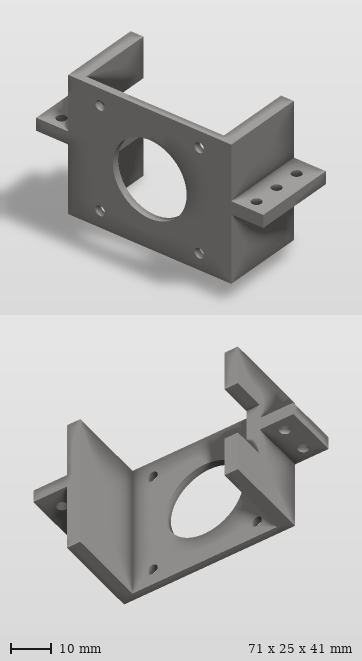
import cadquery as cq

overall_width = 71.0
depth = 25.0
height = 41.0

body_width = 51.0
wall_thickness = 4.0
plate_thickness = 2.1

tab_thickness = 3.8
tab_length = (overall_width - body_width) / 2
left_tab_depth = 15.4
tab_hole_diameter = 3.0
tab_hole_pitch = 8.0
tab_hole_front_offset = 3.7
tab_hole_x = (overall_width - tab_length) / 2

bore_diameter = 23.1
screw_hole_diameter = 3.0
screw_hole_pitch = 31.0

notch_height = 16.5


def make_body():
    cavity_width = body_width - 2 * wall_thickness
    outer = cq.Workplane("XY").box(body_width, depth, height, centered=(True, False, True))
    cavity = (
        cq.Workplane("XY")
        .box(cavity_width, depth, height, centered=(True, False, True))
        .translate((0, plate_thickness, 0))
    )
    return outer.cut(cavity)


def make_tab(side, tab_depth, hole_count):
    """Tab flush with the front face; side is -1 for left and +1 for right."""
    center_x = side * tab_hole_x
    hole_points = [
        (center_x, tab_hole_front_offset + index * tab_hole_pitch)
        for index in range(hole_count)
    ]
    tab = (
        cq.Workplane("XY")
        .box(tab_length, tab_depth, tab_thickness, centered=(True, False, False))
        .translate((center_x, 0, 0))
    )
    holes = (
        cq.Workplane("XY")
        .pushPoints(hole_points)
        .circle(tab_hole_diameter / 2)
        .extrude(tab_thickness)
    )
    return tab.cut(holes)


def make_plate_openings():
    bore = cq.Workplane("XZ").circle(bore_diameter / 2).extrude(-plate_thickness)
    screw_holes = (
        cq.Workplane("XZ")
        .rect(screw_hole_pitch, screw_hole_pitch, forConstruction=True)
        .vertices()
        .circle(screw_hole_diameter / 2)
        .extrude(-plate_thickness)
    )
    return bore.union(screw_holes)


def make_wall_notch():
    return (
        cq.Workplane("XY")
        .box(wall_thickness, depth - left_tab_depth, notch_height, centered=(False, False, True))
        .translate((-body_width / 2, left_tab_depth, 0))
    )


result = (
    make_body()
    .cut(make_plate_openings())
    .cut(make_wall_notch())
    .union(make_tab(-1, left_tab_depth, 2))
    .union(make_tab(1, depth, 3))
)